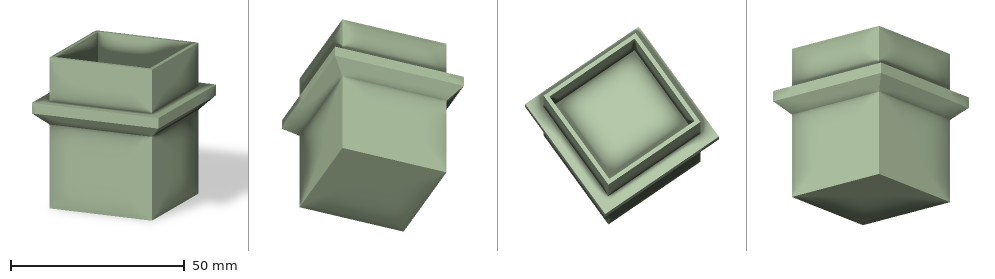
import cadquery as cq

total_height = 45.0
flange_width = 40.0
body_width = 32.35
wall = 1.2
lower_height = 25.0
taper_height = 3.82
rim_height = 13.0

taper_top = lower_height + taper_height
flange_thickness = total_height - rim_height - taper_top
pocket_width = body_width - 2 * wall


def square_block(width, height, base):
    """Square block centred on the Z axis, standing on the level base."""
    return cq.Workplane("XY").workplane(offset=base).rect(width, width).extrude(height)


body = square_block(body_width, total_height, 0)
taper = (
    cq.Workplane("XY")
    .workplane(offset=lower_height)
    .rect(body_width, body_width)
    .workplane(offset=taper_height)
    .rect(flange_width, flange_width)
    .loft(ruled=True)
)
flange = square_block(flange_width, flange_thickness, taper_top)

pocket = square_block(pocket_width, rim_height, total_height - rim_height)

result = body.union(taper).union(flange).cut(pocket)